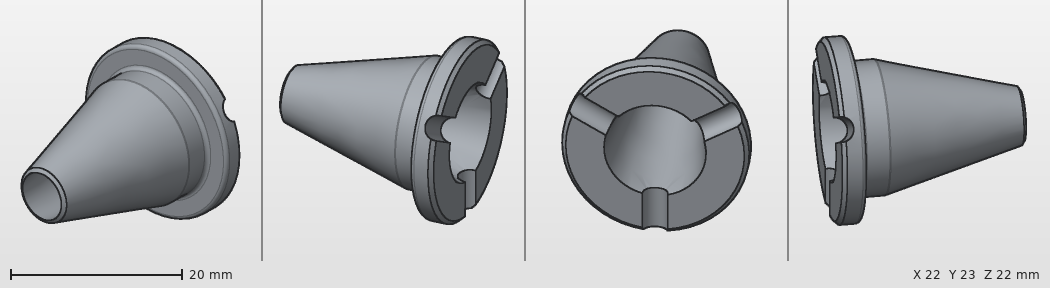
import cadquery as cq

length = 23.0
tip_y = -length / 2
back_y = length / 2

flange_diameter = 22.0
flange_radius = flange_diameter / 2
flange_thickness = 2.83
edge_size = 0.5
flange_front_y = back_y - flange_thickness

hub_radius = 8.0
hub_length = 3.25
cone_start_y = flange_front_y - hub_length

tip_bore_radius = 3.0
tip_rim_radius = 3.5
tip_chamfer_length = 0.35

back_bore_radius = 6.0

notch_radius = 1.5
notch_angles = (30, 150, 270)

selection_margin = 0.002


def edge_circle(body, radius, y):
    """Select the circular edge of the given radius at position y along the axis."""
    reach = radius + selection_margin
    box = cq.selectors.BoxSelector(
        (-reach, y - selection_margin, -reach),
        (reach, y + selection_margin, reach),
        boundingbox=True,
    )
    outermost = cq.selectors.RadiusNthSelector(-1)
    return body.edges(box).edges(outermost)


def make_body():
    """Revolve the wall section, then round its outer edges."""
    section = [
        (tip_bore_radius, tip_y),
        (tip_rim_radius, tip_y + tip_chamfer_length),
        (hub_radius, cone_start_y),
        (hub_radius, flange_front_y),
        (flange_radius, flange_front_y),
        (flange_radius, back_y - edge_size),
        (flange_radius - edge_size, back_y),
        (back_bore_radius, back_y),
    ]
    body = cq.Workplane("XY").polyline(section).close().revolve(360, (0, 0), (0, 1))
    rounded_edges = [
        (hub_radius, cone_start_y),
        (hub_radius, flange_front_y),
        (flange_radius, flange_front_y),
    ]
    for radius, y in rounded_edges:
        body = edge_circle(body, radius, y).fillet(edge_size)
    return body


def make_notch(angle):
    """Round bar lying in the back face, from the axis out past the rim."""
    reach = flange_radius + notch_radius
    bar = cq.Workplane("YZ").center(back_y, 0).circle(notch_radius).extrude(reach)
    return bar.rotate((0, 0, 0), (0, 1, 0), -angle)


result = make_body()
for angle in notch_angles:
    result = result.cut(make_notch(angle))